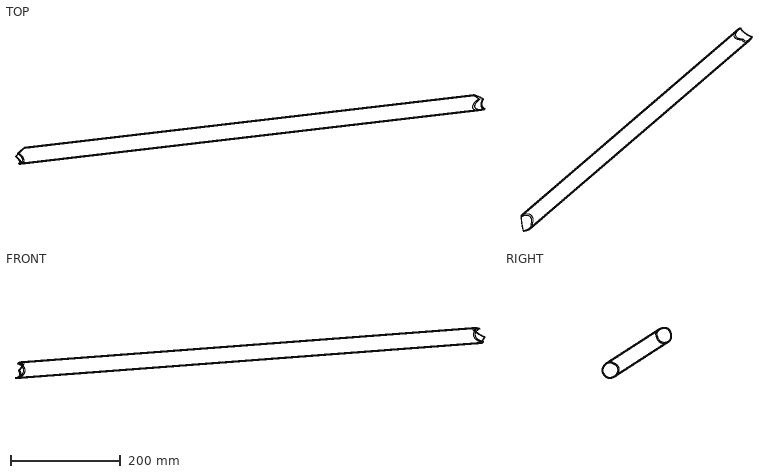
import cadquery as cq
import math

OUTER_RADIUS = 15.0
WALL = 2.0
INNER_RADIUS = OUTER_RADIUS - WALL

SLOPE_Y = 0.117
SLOPE_Z = 0.0755

REFERENCE_LENGTH = 855.0

SPARE_LENGTH = 40.0
BLOCK_SIDE = 200.0

START_MITRES = (
    (120.0, 1.32, -9.9),
    (213.0, 1.16, -14.6),
    (358.5, 1.40, -7.4),
)
FINISH_MITRES = (
    (122.5, 1.83, -8.4),
    (248.5, 1.08, -10.7),
    (7.5, 1.41, -5.5),
)

AXIS = cq.Vector(1, SLOPE_Y, SLOPE_Z).normalized()
SIDE = cq.Vector(0, 0, 1).cross(AXIS).normalized()
UP = AXIS.cross(SIDE)
START = cq.Vector(0, 0, 0)
FINISH = AXIS * REFERENCE_LENGTH


def raw_tube():
    """Straight tube, longer than needed at both ends."""
    base = cq.Plane(origin=AXIS * -SPARE_LENGTH, xDir=SIDE, normal=AXIS)
    length = REFERENCE_LENGTH + 2 * SPARE_LENGTH
    return cq.Workplane(base).circle(OUTER_RADIUS).circle(INNER_RADIUS).extrude(length)


def mitre_block(end_point, inward, angle, slope, shift):
    """Block filling the space beyond one mitre plane."""
    turn = math.radians(angle)
    radial = SIDE * math.cos(turn) + UP * math.sin(turn)
    outward = (radial * slope - inward).normalized()
    across = inward.cross(radial)
    plane = cq.Plane(origin=end_point + inward * shift, xDir=across, normal=outward)
    return cq.Workplane(plane).rect(BLOCK_SIDE, BLOCK_SIDE).extrude(BLOCK_SIDE)


def mitre_end(tube, end_point, inward, mitres):
    """Trim one end of the tube with all of its mitre planes."""
    for angle, slope, shift in mitres:
        tube = tube.cut(mitre_block(end_point, inward, angle, slope, shift))
    return tube


def centred(part):
    """Move the middle of the part's bounding box to the origin."""
    return part.translate(part.val().BoundingBox().center * -1)


tube = raw_tube()
tube = mitre_end(tube, START, AXIS, START_MITRES)
tube = mitre_end(tube, FINISH, AXIS * -1, FINISH_MITRES)
result = centred(tube)